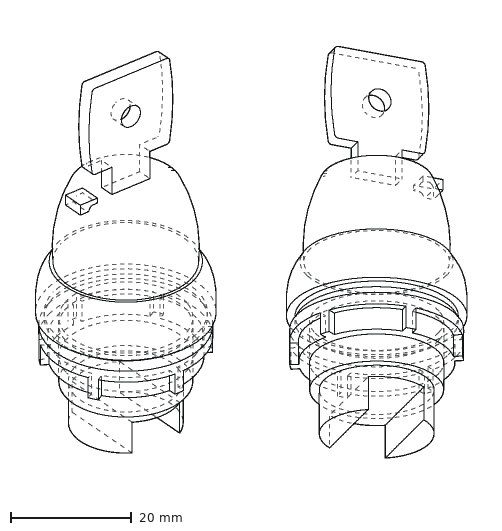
import cadquery as cq

slot_top = 6.0
coupling_top = 8.05
nut_bottom = 13.0
nut_flange_bottom = 16.95
nut_top = 19.1
seal_bottom = 20.5
bezel_bottom = 21.6
bezel_shoulder = 25.3
bezel_top = 31.5
cap_rim = 46.3
cap_top = 46.8
key_shoulder = 52.1
total_height = 68.9

coupling_radius = 9.5
barrel_radius = 11.1
seal_radius = 13.5
bezel_radius = 14.95
bezel_rim_radius = 12.7
cap_base_radius = 12.05
cap_rim_radius = 9.4
cap_face_radius = 8.55

bezel_arc_radius = 14.25
bezel_arc_height = 28.7
cap_arc_radius = 11.65
cap_arc_height = 39.6
rim_arc_radius = 9.1
rim_arc_height = 46.65

slot_width = 10.0

tab_width = 4.0
tab_inner_y = -7.5
tab_outer_y = -11.1
tab_bottom = 45.8
tab_top = 47.75

key_thickness = 2.75
neck_width = 8.0
bow_end_width = 16.1
bow_mid_width = 17.65
bow_corner_radius = 0.7
key_hole_diameter = 4.0

nut_flange_radius = 14.4
nut_body_radius = 12.95
lug_count = 6
lug_width = 1.8


def make_turned_body():
    """Cap, bezel, seal, barrel and coupling end revolved as one profile."""
    profile = (
        cq.Workplane("XZ")
        .moveTo(0, 0)
        .lineTo(coupling_radius, 0)
        .lineTo(coupling_radius, coupling_top)
        .lineTo(barrel_radius, coupling_top)
        .lineTo(barrel_radius, seal_bottom)
        .lineTo(seal_radius, seal_bottom)
        .lineTo(seal_radius, bezel_bottom)
        .lineTo(bezel_radius, bezel_bottom)
        .lineTo(bezel_radius, bezel_shoulder)
        .threePointArc((bezel_arc_radius, bezel_arc_height), (bezel_rim_radius, bezel_top))
        .lineTo(cap_base_radius, bezel_top)
        .threePointArc((cap_arc_radius, cap_arc_height), (cap_rim_radius, cap_rim))
        .threePointArc((rim_arc_radius, rim_arc_height), (cap_face_radius, cap_top))
        .lineTo(0, cap_top)
        .close()
    )
    return profile.revolve(360, (0, 0, 0), (0, 1, 0))


def make_drive_slot():
    """Cutter for the slot that runs through the coupling end along X."""
    return cq.Workplane("XY").box(
        2 * coupling_radius, slot_width, slot_top, centered=(True, True, False)
    )


def make_pointer_tab():
    """Block that overhangs the cap edge on the -Y side."""
    return (
        cq.Workplane("XY")
        .workplane(offset=tab_bottom)
        .center(0, (tab_inner_y + tab_outer_y) / 2)
        .rect(tab_width, tab_inner_y - tab_outer_y)
        .extrude(tab_top - tab_bottom)
    )


def make_key():
    """Flat key with bulging sides, standing on the cap in the YZ plane."""
    bow_middle = (key_shoulder + total_height) / 2
    bow_end = bow_end_width / 2
    bow_bulge = bow_mid_width / 2
    bow = (
        cq.Workplane("YZ")
        .moveTo(-bow_end, key_shoulder)
        .lineTo(bow_end, key_shoulder)
        .threePointArc((bow_bulge, bow_middle), (bow_end, total_height))
        .lineTo(-bow_end, total_height)
        .threePointArc((-bow_bulge, bow_middle), (-bow_end, key_shoulder))
        .close()
        .extrude(key_thickness / 2, both=True)
        .edges("|X")
        .fillet(bow_corner_radius)
    )
    neck = (
        cq.Workplane("XY")
        .workplane(offset=cap_top)
        .rect(key_thickness, neck_width)
        .extrude(bow_middle - cap_top)
    )
    hole = (
        cq.Workplane("YZ")
        .center(0, bow_middle)
        .circle(key_hole_diameter / 2)
        .extrude(key_thickness, both=True)
    )
    return bow.union(neck).cut(hole)


def make_actuator():
    """Key switch actuator with its key and pointer tab."""
    body = make_turned_body().cut(make_drive_slot())
    return body.union(make_pointer_tab()).union(make_key())


def make_nut():
    """Flanged ring nut around the barrel, with grip lugs below the flange."""
    flange = (
        cq.Workplane("XY")
        .workplane(offset=nut_flange_bottom)
        .circle(nut_flange_radius)
        .extrude(nut_top - nut_flange_bottom)
    )
    nut_body = (
        cq.Workplane("XY")
        .workplane(offset=nut_bottom)
        .circle(nut_body_radius)
        .extrude(nut_flange_bottom - nut_bottom)
    )
    lug_envelope = (
        cq.Workplane("XY")
        .workplane(offset=nut_bottom)
        .circle(nut_flange_radius)
        .extrude(nut_flange_bottom - nut_bottom)
    )
    nut = flange.union(nut_body)
    for index in range(lug_count):
        angle = index * 360 / lug_count
        lug = (
            cq.Workplane("XY")
            .workplane(offset=nut_bottom)
            .center(nut_flange_radius / 2, 0)
            .rect(nut_flange_radius + lug_width, lug_width)
            .extrude(nut_flange_bottom - nut_bottom)
            .rotate((0, 0, 0), (0, 0, 1), angle)
        )
        nut = nut.union(lug.intersect(lug_envelope))
    bore = cq.Workplane("XY").circle(barrel_radius).extrude(nut_top)
    return nut.cut(bore)


actuator = make_actuator()
nut = make_nut()

result = cq.Compound.makeCompound([actuator.val(), nut.val()])